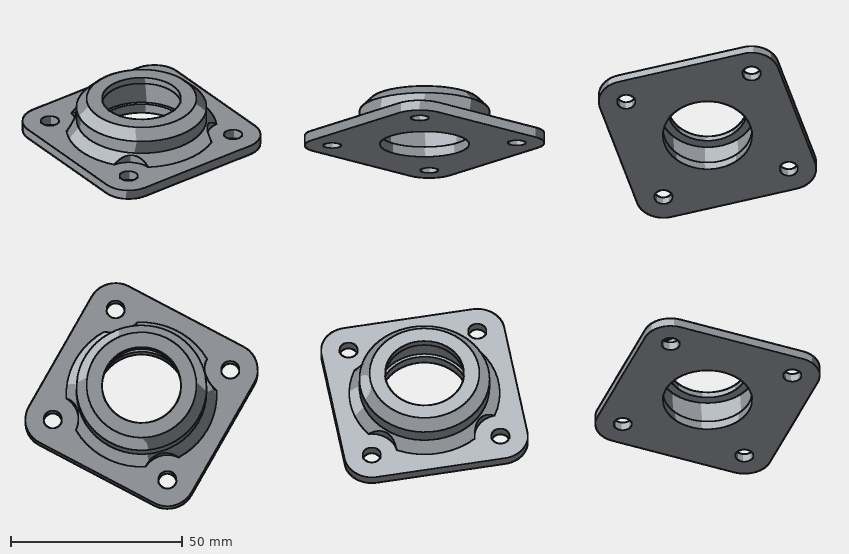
import cadquery as cq

plate_side = 54.2
plate_thickness = 3.0
corner_radius = 8.0
hole_diameter = 5.3
hole_offset = plate_side / 2 - corner_radius
screw_clearance_diameter = 15.0

total_height = 13.0
housing_diameter = 38.0
bevel = 3.0

mouth_diameter = 23.0
seat_diameter = 28.0
entry_diameter = 26.0
lip_thickness = 2.0
entry_depth = plate_thickness


def cylinder(diameter, bottom, top):
    return cq.Workplane("XY").workplane(offset=bottom).circle(diameter / 2).extrude(top - bottom)


def make_plate():
    return (
        cq.Workplane("XY")
        .rect(plate_side, plate_side)
        .extrude(plate_thickness)
        .edges("|Z")
        .fillet(corner_radius)
    )


def make_housing():
    radius = housing_diameter / 2
    profile = [
        (0, 0),
        (radius + bevel, 0),
        (radius + bevel, plate_thickness),
        (radius, plate_thickness + bevel),
        (radius, total_height - bevel),
        (radius - bevel, total_height),
        (0, total_height),
    ]
    return cq.Workplane("XZ").polyline(profile).close().revolve(360, (0, 0), (0, 1))


def cut_screw_positions(body):
    for x in (-hole_offset, hole_offset):
        for y in (-hole_offset, hole_offset):
            clearance = cylinder(screw_clearance_diameter, plate_thickness, total_height)
            hole = cylinder(hole_diameter, 0, plate_thickness)
            body = body.cut(clearance.translate((x, y, 0)))
            body = body.cut(hole.translate((x, y, 0)))
    return body


def cut_bore(body):
    body = body.cut(cylinder(mouth_diameter, 0, total_height))
    body = body.cut(cylinder(seat_diameter, entry_depth, total_height - lip_thickness))
    return body.cut(cylinder(entry_diameter, 0, entry_depth))


result = cut_bore(cut_screw_positions(make_plate().union(make_housing())))